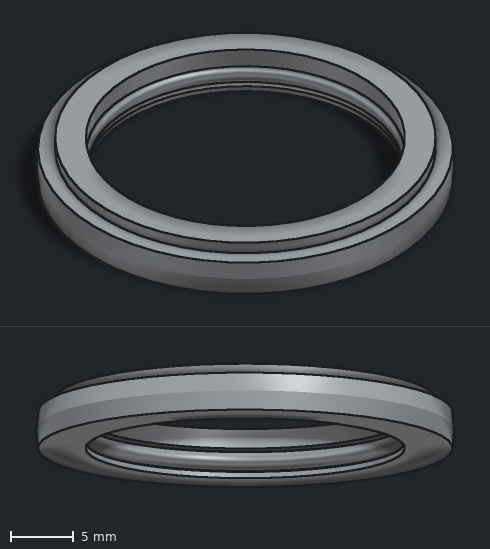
import cadquery as cq

total_height = 4.0
rim_height = 3.0
rim_peak_radius = 33.3 / 2
rim_edge_drop = 0.13
neck_radius = 15.15
bore_radius = 12.7
lip_height = 0.5

cord_diameter = 1.5
cord_protrusion = 0.2
groove_height = 1.9

rim_edge_radius = rim_peak_radius - rim_edge_drop
groove_top = lip_height + groove_height
cord_radius = cord_diameter / 2
cord_centre_radius = bore_radius - cord_protrusion + cord_radius
cord_centre_height = lip_height + groove_height / 2
groove_radius = cord_centre_radius + cord_radius


def make_housing():
    """Ring with a double-tapered rim, a neck and an internal O-ring groove."""
    return (
        cq.Workplane("XZ")
        .moveTo(-bore_radius, 0)
        .lineTo(-rim_edge_radius, 0)
        .lineTo(-rim_peak_radius, rim_height / 2)
        .lineTo(-rim_edge_radius, rim_height)
        .lineTo(-neck_radius, rim_height)
        .lineTo(-neck_radius, total_height)
        .lineTo(-bore_radius, total_height)
        .lineTo(-bore_radius, groove_top)
        .lineTo(-groove_radius, groove_top)
        .lineTo(-groove_radius, lip_height)
        .lineTo(-bore_radius, lip_height)
        .close()
        .revolve(360, (0, 0), (0, 1))
    )


def make_o_ring():
    """Round-section ring seated in the housing groove."""
    return (
        cq.Workplane("XZ")
        .center(cord_centre_radius, cord_centre_height)
        .circle(cord_radius)
        .revolve(360, (-cord_centre_radius, 0), (-cord_centre_radius, 1))
    )


housing = make_housing()
o_ring = make_o_ring()

result = cq.Compound.makeCompound([housing.val(), o_ring.val()])